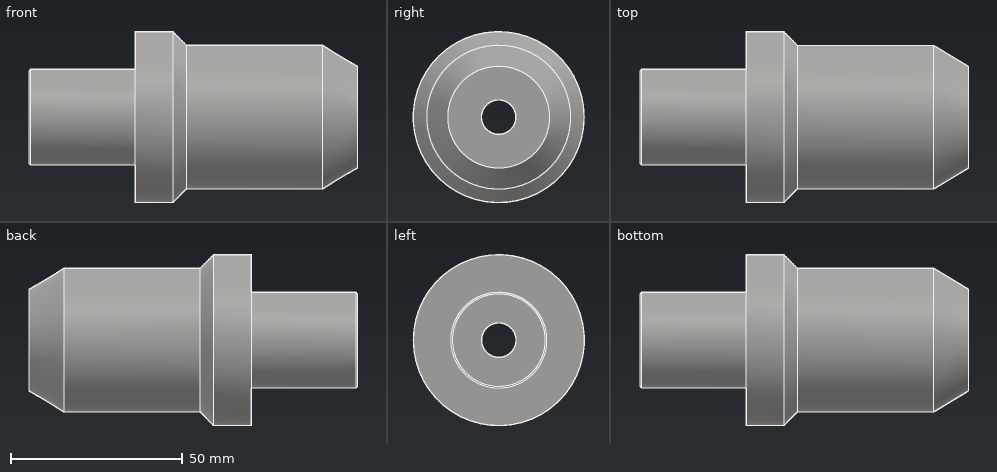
import cadquery as cq

total_length = 96.0
spigot_length = 31.0
flange_width = 11.0
shoulder_length = 3.9
nose_length = 10.2
spigot_chamfer = 0.5

spigot_diameter = 28.0
flange_diameter = 50.0
body_diameter = 42.0
nose_diameter = 29.8
bore_diameter = 10.0

spigot_end = -total_length / 2
flange_start = spigot_end + spigot_length
flange_end = flange_start + flange_width
body_start = flange_end + shoulder_length
nose_end = total_length / 2
nose_start = nose_end - nose_length

half_profile = (
    cq.Workplane("XY")
    .moveTo(spigot_end, 0)
    .lineTo(spigot_end, spigot_diameter / 2 - spigot_chamfer)
    .lineTo(spigot_end + spigot_chamfer, spigot_diameter / 2)
    .lineTo(flange_start, spigot_diameter / 2)
    .lineTo(flange_start, flange_diameter / 2)
    .lineTo(flange_end, flange_diameter / 2)
    .lineTo(body_start, body_diameter / 2)
    .lineTo(nose_start, body_diameter / 2)
    .lineTo(nose_end, nose_diameter / 2)
    .lineTo(nose_end, 0)
    .close()
)
pin = half_profile.revolve(360, (0, 0, 0), (1, 0, 0))

bore = (
    cq.Workplane("YZ", origin=(spigot_end, 0, 0))
    .circle(bore_diameter / 2)
    .extrude(total_length)
)

result = pin.cut(bore)